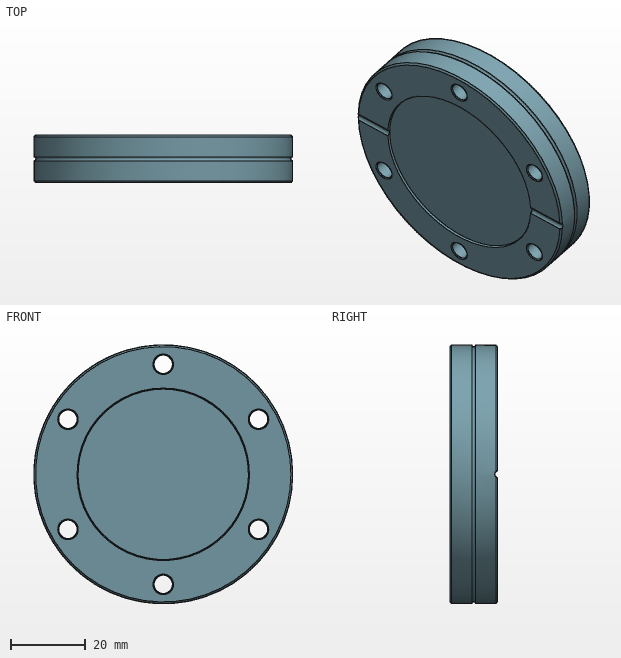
import cadquery as cq
import math

flange_diameter = 69.1
flange_thickness = 12.7
rim_chamfer = 0.5
front_y = -flange_thickness / 2
rear_y = flange_thickness / 2

rim_groove_width = 1.05
rim_groove_depth = 0.5

bolt_count = 6
bolt_circle_diameter = 58.75
bolt_hole_diameter = 4.9
bolt_hole_chamfer = 0.3

opening_diameter = 45.5
opening_depth = 5.0
opening_chamfer = 0.3
pocket_diameter = 48.3

notch_radius = 1.05
notch_depth = 0.7

window_diameter = 48.1
window_thickness = flange_thickness - opening_depth - notch_depth


def cylinder(diameter, start_y, length, x=0.0, z=0.0):
    """Cylinder along +Y that starts at start_y."""
    return cq.Workplane(
        cq.Solid.makeCylinder(diameter / 2, length, cq.Vector(x, start_y, z), cq.Vector(0, 1, 0))
    )


def countersink(diameter, chamfer, face_y, inward, x=0.0, z=0.0):
    """Cone that chamfers a hole's mouth; inward is +1 or -1 along Y."""
    radius = diameter / 2
    cone = cq.Solid.makeCone(
        radius + chamfer, radius, chamfer, cq.Vector(x, face_y, z), cq.Vector(0, inward, 0)
    )
    return cq.Workplane(cone)


def make_blank():
    """Chamfered disc with the groove around its rim."""
    rim_radius = flange_diameter / 2
    half_groove = rim_groove_width / 2
    profile = (
        cq.Workplane("XY")
        .moveTo(0, front_y)
        .lineTo(rim_radius - rim_chamfer, front_y)
        .lineTo(rim_radius, front_y + rim_chamfer)
        .lineTo(rim_radius, -half_groove)
        .threePointArc((rim_radius - rim_groove_depth, 0), (rim_radius, half_groove))
        .lineTo(rim_radius, rear_y - rim_chamfer)
        .lineTo(rim_radius - rim_chamfer, rear_y)
        .lineTo(0, rear_y)
        .close()
    )
    return profile.revolve(360, (0, 0, 0), (0, 1, 0))


def cut_bolt_holes(body):
    """Through holes on the bolt circle, chamfered at both faces."""
    for index in range(bolt_count):
        angle = math.radians(90 + index * 360 / bolt_count)
        x = bolt_circle_diameter / 2 * math.cos(angle)
        z = bolt_circle_diameter / 2 * math.sin(angle)
        body = body.cut(cylinder(bolt_hole_diameter, front_y, flange_thickness, x, z))
        body = body.cut(countersink(bolt_hole_diameter, bolt_hole_chamfer, front_y, 1, x, z))
        body = body.cut(countersink(bolt_hole_diameter, bolt_hole_chamfer, rear_y, -1, x, z))
    return body


def cut_window_seat(body):
    """Front opening with a chamfered edge, and the rear pocket behind its ledge."""
    body = body.cut(cylinder(opening_diameter, front_y, flange_thickness))
    body = body.cut(countersink(opening_diameter, opening_chamfer, front_y, 1))
    return body.cut(cylinder(pocket_diameter, front_y + opening_depth, flange_thickness - opening_depth))


def cut_leak_notches(body):
    """Round channel along X that notches the rear face on both sides of the pocket."""
    channel = (
        cq.Workplane("YZ")
        .center(rear_y - notch_depth + notch_radius, 0)
        .circle(notch_radius)
        .extrude(flange_diameter / 2, both=True)
    )
    return body.cut(channel)


def make_flange():
    body = cut_bolt_holes(make_blank())
    body = cut_window_seat(body)
    return cut_leak_notches(body)


def make_window():
    return cylinder(window_diameter, front_y + opening_depth, window_thickness)


flange = make_flange()
window = make_window()

result = cq.Compound.makeCompound([flange.val(), window.val()])